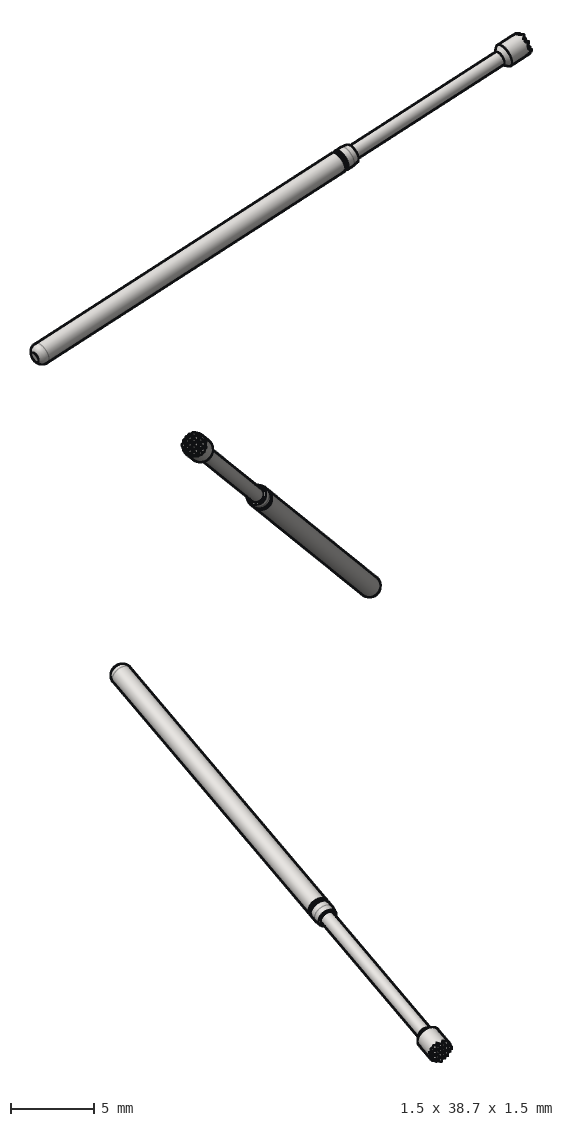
import cadquery as cq
import math


HEAD_RADIUS = 0.75
PLUNGER_RADIUS = 0.465
BARREL_RADIUS = 0.68
LIP_RADIUS = 0.62
GROOVE_RADIUS = 0.62
BARREL_END_RADIUS = 0.35

TOTAL_LENGTH = 38.7
BARREL_LENGTH = 25.05
HEAD_LENGTH = 1.65
HEAD_CONE_LENGTH = 0.35
BARREL_END_ROUND = 0.55
LIP_LENGTH = 0.4
GROOVE_OFFSET = 0.85
GROOVE_WIDTH = 0.25

GROOVES_PER_DIRECTION = 4
SERRATION_PITCH = 0.4
SERRATION_DEPTH = 0.3
TOOTH_LAND = 0.01

barrel_end = -TOTAL_LENGTH
barrel_mouth = barrel_end + BARREL_LENGTH
groove_top = barrel_mouth - GROOVE_OFFSET
groove_bottom = groove_top - GROOVE_WIDTH
head_start = -HEAD_LENGTH
neck = head_start - HEAD_CONE_LENGTH


def revolve_about_y(profile):
    """Close a half profile on the axis and turn it into a solid."""
    return profile.close().revolve(360, (0, 0, 0), (0, 1, 0))


def make_barrel():
    """Round-ended barrel with a crimp groove and a tapered lip at its mouth."""
    round_end = barrel_end + BARREL_END_ROUND
    round_middle = (
        BARREL_END_RADIUS + (BARREL_RADIUS - BARREL_END_RADIUS) * math.sin(math.pi / 4),
        barrel_end + BARREL_END_ROUND * (1 - math.cos(math.pi / 4)),
    )
    profile = (
        cq.Workplane("XY")
        .moveTo(0, barrel_end)
        .lineTo(BARREL_END_RADIUS, barrel_end)
        .threePointArc(round_middle, (BARREL_RADIUS, round_end))
        .lineTo(BARREL_RADIUS, groove_bottom)
        .lineTo(GROOVE_RADIUS, (groove_bottom + groove_top) / 2)
        .lineTo(BARREL_RADIUS, groove_top)
        .lineTo(BARREL_RADIUS, barrel_mouth - LIP_LENGTH)
        .lineTo(LIP_RADIUS, barrel_mouth)
        .lineTo(0, barrel_mouth)
    )
    return revolve_about_y(profile)


def make_plunger():
    """Plain shaft that widens through a cone into the cylindrical head."""
    profile = (
        cq.Workplane("XY")
        .moveTo(0, groove_bottom)
        .lineTo(PLUNGER_RADIUS, groove_bottom)
        .lineTo(PLUNGER_RADIUS, neck)
        .lineTo(HEAD_RADIUS, head_start)
        .lineTo(HEAD_RADIUS, 0)
        .lineTo(0, 0)
    )
    return revolve_about_y(profile)


def make_serrations():
    """Parallel V grooves along Z, and the same set turned to run along X."""
    half_width = (SERRATION_PITCH - TOOTH_LAND) / 2
    first_groove = -SERRATION_PITCH * (GROOVES_PER_DIRECTION - 1) / 2
    grooves = cq.Workplane("XY")
    for index in range(GROOVES_PER_DIRECTION):
        center = first_groove + index * SERRATION_PITCH
        groove = (
            cq.Workplane("XY")
            .moveTo(center - half_width, 0)
            .lineTo(center, -SERRATION_DEPTH)
            .lineTo(center + half_width, 0)
            .close()
            .extrude(2 * HEAD_RADIUS, both=True)
        )
        grooves = grooves.add(groove)
    along_z = grooves.combine()
    along_x = along_z.rotate((0, 0, 0), (0, 1, 0), 90)
    return along_z, along_x


result = make_barrel().union(make_plunger())
for groove_set in make_serrations():
    result = result.cut(groove_set)